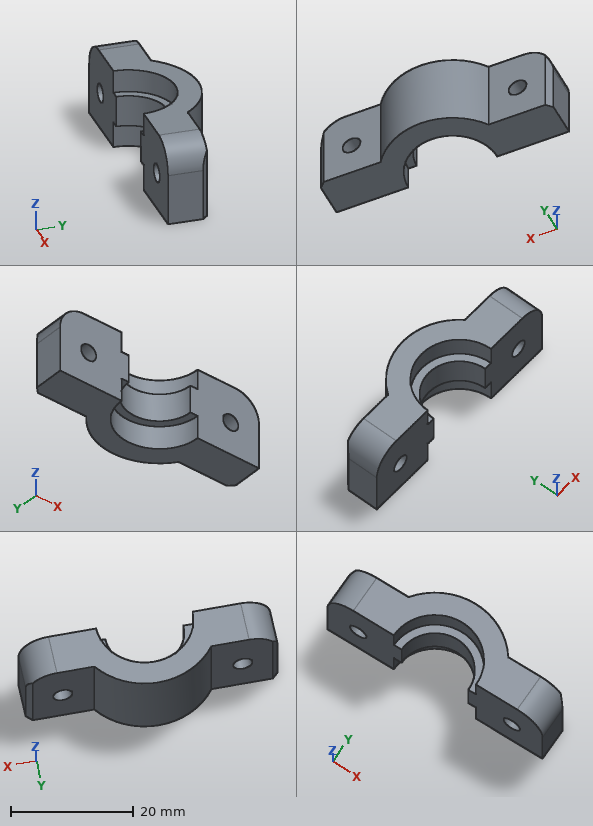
import cadquery as cq

length = 42.0
height = 14.0
ear_thickness = 7.0
arch_radius = 12.0
corner_radius = 5.0
rear_chamfer = 1.0

seat_radius = 8.02
lip_radius = 6.5
lip_bottom = 4.55
lip_top = 10.0

hole_diameter = 3.2
hole_spacing = 30.0
hole_height = 6.5


def upright_cylinder(radius, bottom, top):
    """Cylinder on the bearing axis, which is the Z axis."""
    return cq.Workplane("XY").workplane(offset=bottom).circle(radius).extrude(top - bottom)


def make_ears():
    """Flat bar with rounded upper corners and chamfered rear ends."""
    bar = cq.Workplane("XY").box(length, ear_thickness, height, centered=(True, False, False))
    bar = bar.edges("|Z and >Y").chamfer(rear_chamfer)

    outline = cq.Workplane("XY").box(length, ear_thickness, height, centered=(True, False, False))
    outline = outline.edges("|Y and >Z").fillet(corner_radius)
    return bar.intersect(outline)


def make_arch():
    """Half cylinder rising behind the ears from the split face at Y = 0."""
    rear_half = cq.Workplane("XY").box(
        2 * arch_radius, arch_radius, height, centered=(True, False, False)
    )
    return upright_cylinder(arch_radius, 0, height).intersect(rear_half)


def make_bore():
    """Through bore, widened below and above the lip."""
    bore = upright_cylinder(lip_radius, 0, height)
    bore = bore.union(upright_cylinder(seat_radius, 0, lip_bottom))
    return bore.union(upright_cylinder(seat_radius, lip_top, height))


def make_mounting_holes():
    """Pair of holes running through the ears along Y."""
    return (
        cq.Workplane("XZ")
        .pushPoints([(side * hole_spacing / 2, hole_height) for side in (-1, 1)])
        .circle(hole_diameter / 2)
        .extrude(-ear_thickness)
    )


result = make_ears().union(make_arch()).cut(make_bore()).cut(make_mounting_holes())